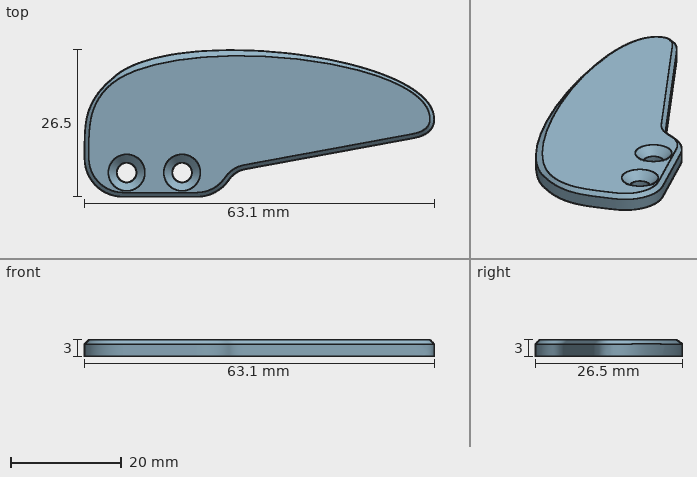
import cadquery as cq
import math

blade_length = 63.12
thickness = 3.0
edge_chamfer = 0.8

heel_radius = 7.0
heel_edge_top = 8.85
heel_arc_x = 20.26

neck_start_angle = math.radians(56)
neck_radius = 4.48

lower_edge_angle = math.radians(10.45)
lower_edge_end_x = 59.4

shoulder = (5.76, 22.0)
shoulder_angle = math.radians(38.4)
heel_edge_pull = 5.1
shoulder_pull_down = 7.0
shoulder_pull_up = 14.7
tip_height = 13.97
tip_pull_up = 11.44
tip_pull_down = 1.19
lower_edge_pull = 3.09

hole_diameter = 3.5
countersink_diameter = 6.6
countersink_angle = 90
hole_count = 2
hole_spacing = 10.0
first_hole_x = 7.62
hole_y = 4.4


def move(point, angle, distance):
    """Point at a distance from another point along a heading."""
    return (point[0] + distance * math.cos(angle), point[1] + distance * math.sin(angle))


def on_heel_arc(angle):
    """Point on the convex arc under the heel where its heading is the given angle."""
    return move((heel_arc_x, heel_radius), angle - math.pi / 2, heel_radius)


def on_neck_arc(angle):
    """Point on the concave neck arc, tangent to the heel arc, at the given heading."""
    center = move(
        (heel_arc_x, heel_radius), neck_start_angle - math.pi / 2, heel_radius + neck_radius
    )
    return move(center, angle + math.pi / 2, neck_radius)


def make_outline():
    neck_start = on_heel_arc(neck_start_angle)
    neck_end = on_neck_arc(lower_edge_angle)
    neck_middle_angle = (neck_start_angle + lower_edge_angle) / 2
    lower_edge_run = (lower_edge_end_x - neck_end[0]) / math.cos(lower_edge_angle)
    lower_edge_end = move(neck_end, lower_edge_angle, lower_edge_run)
    tip = (blade_length, tip_height)
    heel_edge_end = (0, heel_edge_top)
    heel_corner_middle = heel_radius * (1 - math.sqrt(0.5))

    tip_curve = [
        lower_edge_end,
        move(lower_edge_end, lower_edge_angle, lower_edge_pull),
        (blade_length, tip_height - tip_pull_down),
        tip,
    ]
    back_curve = [
        tip,
        (blade_length, tip_height + tip_pull_up),
        move(shoulder, shoulder_angle, shoulder_pull_up),
        shoulder,
    ]
    heel_curve = [
        shoulder,
        move(shoulder, shoulder_angle, -shoulder_pull_down),
        (0, heel_edge_top + heel_edge_pull),
        heel_edge_end,
    ]

    return (
        cq.Workplane("XY")
        .moveTo(heel_radius, 0)
        .lineTo(heel_arc_x, 0)
        .threePointArc(on_heel_arc(neck_start_angle / 2), neck_start)
        .threePointArc(on_neck_arc(neck_middle_angle), neck_end)
        .lineTo(*lower_edge_end)
        .bezier(tip_curve)
        .bezier(back_curve)
        .bezier(heel_curve)
        .lineTo(0, heel_radius)
        .threePointArc((heel_corner_middle, heel_corner_middle), (heel_radius, 0))
        .close()
    )


def make_plate():
    """Blade with a chamfer all along its top edge."""
    plate = make_outline().extrude(thickness)
    return plate.faces(">Z").edges().chamfer(edge_chamfer)


def drill_screw_holes(plate):
    """Through holes in a row along X, countersunk from the top face."""
    centers = [(first_hole_x + i * hole_spacing, hole_y) for i in range(hole_count)]
    return (
        plate.faces(">Z")
        .workplane(origin=(0, 0, thickness))
        .pushPoints(centers)
        .cskHole(hole_diameter, countersink_diameter, countersink_angle)
    )


result = drill_screw_holes(make_plate())